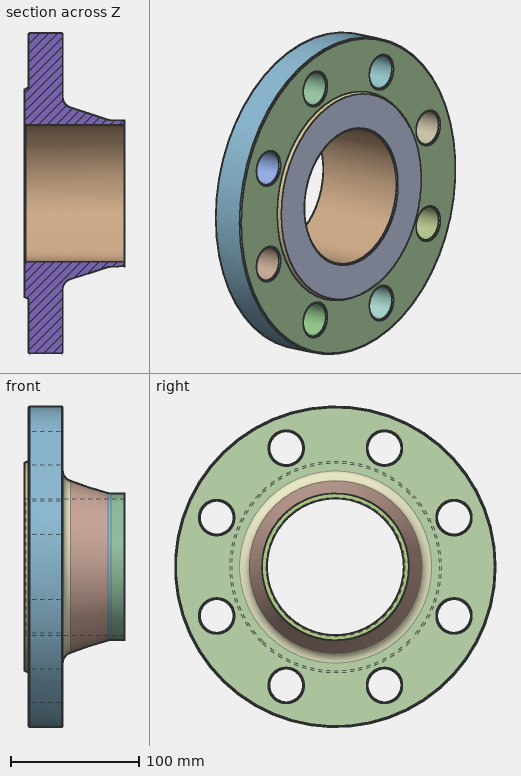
import cadquery as cq

overall_length = 78.0
flange_diameter = 250.0
flange_back = 30.0
flange_edge_chamfer = 1.0

raised_face_diameter = 162.0
raised_face_base_diameter = 164.8
raised_face_height = 3.0

neck_base_diameter = 138.0
pipe_diameter = 114.3
pipe_end_length = 12.0
neck_fillet_radius = 8.0
bore_diameter = 106.3
bore_chamfer = 1.0

bolt_count = 8
bolt_circle_diameter = 200.0
bolt_hole_diameter = 26.0
bolt_hole_chamfer = 1.0

SELECT_TOLERANCE = 0.01


def radius_corner(x, diameter):
    """Profile corner at an axial position, given the diameter there."""
    return (x, diameter / 2)


def make_body():
    """Revolved flange, raised face and tapered neck, with sharp corners, solid through."""
    cone_end = overall_length - pipe_end_length
    profile = [
        (0, 0),
        radius_corner(0, raised_face_diameter),
        radius_corner(raised_face_height, raised_face_base_diameter),
        radius_corner(raised_face_height, flange_diameter - 2 * flange_edge_chamfer),
        radius_corner(raised_face_height + flange_edge_chamfer, flange_diameter),
        radius_corner(flange_back - flange_edge_chamfer, flange_diameter),
        radius_corner(flange_back, flange_diameter - 2 * flange_edge_chamfer),
        radius_corner(flange_back, neck_base_diameter),
        radius_corner(cone_end, pipe_diameter),
        radius_corner(overall_length, pipe_diameter),
        (overall_length, 0),
    ]
    return cq.Workplane("XY").polyline(profile).close().revolve(360, (0, 0, 0), (1, 0, 0))


def ring_edge(x, diameter):
    """Selector for the circular edge of a given diameter around the axis at X = x."""
    reach = diameter / 2 + SELECT_TOLERANCE
    return cq.selectors.BoxSelector(
        (x - SELECT_TOLERANCE, -reach, -reach),
        (x + SELECT_TOLERANCE, reach, reach),
        boundingbox=True,
    )


def round_neck(body):
    """Blend both ends of the cone into the flange face and the weld end."""
    cone_end = overall_length - pipe_end_length
    rounded = body.edges(ring_edge(flange_back, neck_base_diameter)).fillet(neck_fillet_radius)
    return rounded.edges(ring_edge(cone_end, pipe_diameter)).fillet(neck_fillet_radius)


def cut_bore(body):
    """Through bore with a small chamfer at the sealing face."""
    bore = cq.Workplane("YZ").circle(bore_diameter / 2).extrude(overall_length)
    return body.cut(bore).edges(ring_edge(0, bore_diameter)).chamfer(bore_chamfer)


def make_bolt_hole_cutter():
    """Cutter along X for one bolt hole, flared at both flange faces."""
    hole_radius = bolt_hole_diameter / 2
    mouth_radius = hole_radius + bolt_hole_chamfer
    profile = [
        (raised_face_height, 0),
        (raised_face_height, mouth_radius),
        (raised_face_height + bolt_hole_chamfer, hole_radius),
        (flange_back - bolt_hole_chamfer, hole_radius),
        (flange_back, mouth_radius),
        (flange_back, 0),
    ]
    return cq.Workplane("XY").polyline(profile).close().revolve(360, (0, 0, 0), (1, 0, 0))


def cut_bolt_holes(body):
    """Evenly spaced bolt holes that straddle the vertical centre line."""
    pitch_angle = 360 / bolt_count
    cutter = make_bolt_hole_cutter().translate((0, bolt_circle_diameter / 2, 0))
    for index in range(bolt_count):
        angle = (index + 0.5) * pitch_angle
        body = body.cut(cutter.rotate((0, 0, 0), (1, 0, 0), angle))
    return body


result = cut_bolt_holes(cut_bore(round_neck(make_body())))